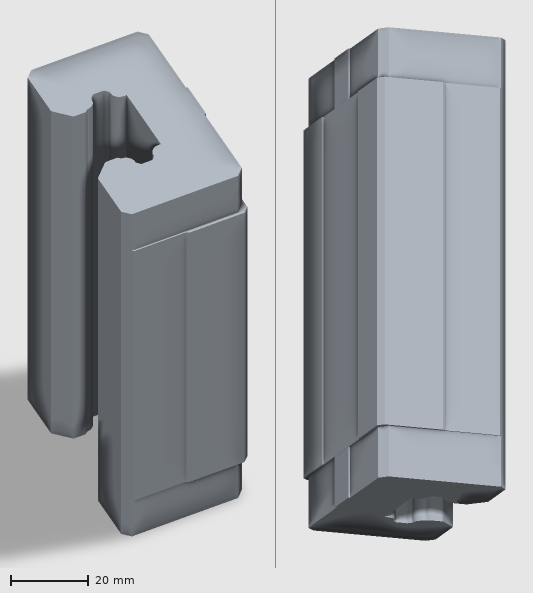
import cadquery as cq
import math


length = 120.7
block_width = 60.0
block_height = 36.0

block_length = 93.4
lower_side_inset = 0.5
side_step_top = 18.3
side_step_bottom = 17.4
block_top_chamfer = 1.6
top_recess_width = 27.5
top_recess_depth = 0.3

cap_half_width = 29.1
cap_height = 35.1
cap_top_chamfer = 2.2
ridge_width = 10.6
ridge_height = 0.5

underside_half_width = 27.0

slot_height = 20.2
lip_half_width = 9.2
lip_chamfer = 4.3
lip_edge_radius = 1.2
lip_top = 7.8
race_axis_height = 14.0
race_radius = 2.7
race_half_width = 9.9
groove_half_width = 14.0
groove_corner = 1.1

half_block = block_width / 2
cap_length = (length - block_length) / 2


def mirrored_bar(half_profile, bar_length):
    """Extrude a half profile centred on Z and join it with its mirror image about X = 0."""
    half = half_profile.close().extrude(bar_length / 2, both=True)
    return half.union(half.mirror("YZ"))


def steel_block():
    lower_half_width = half_block - lower_side_inset
    profile = cq.Workplane("XY").polyline([
        (0, 0),
        (underside_half_width, 0),
        (lower_half_width, lower_half_width - underside_half_width),
        (lower_half_width, side_step_bottom),
        (half_block, side_step_top),
        (half_block, block_height - block_top_chamfer),
        (half_block - block_top_chamfer, block_height),
        (top_recess_width / 2, block_height),
        (top_recess_width / 2, block_height - top_recess_depth),
        (0, block_height - top_recess_depth),
    ])
    return mirrored_bar(profile, block_length)


def end_cap():
    ridge_top = cap_height + ridge_height
    profile = cq.Workplane("XY").polyline([
        (0, 0),
        (underside_half_width, 0),
        (cap_half_width, cap_half_width - underside_half_width),
        (cap_half_width, cap_height - cap_top_chamfer),
        (cap_half_width - cap_top_chamfer, cap_height),
        (ridge_width / 2, cap_height),
        (ridge_width / 2, ridge_top),
        (0, ridge_top),
    ])
    return mirrored_bar(profile, cap_length)


def rail_slot():
    shoulder_x = race_half_width + race_radius
    shoulder_offset = 2 * race_radius
    quarter_mid = race_radius * math.sin(math.radians(45))
    lower_centre = race_axis_height - shoulder_offset
    upper_centre = race_axis_height + shoulder_offset
    groove_half_height = shoulder_offset - race_radius
    groove_wall_half = groove_half_height - groove_corner
    groove_mouth_x = groove_half_width - groove_corner

    entry_angle = math.radians(45)
    edge_run = lip_edge_radius * math.tan(entry_angle / 2)
    edge_slant = edge_run * math.sin(entry_angle)
    edge_centre_x = lip_half_width + lip_edge_radius
    edge_centre_y = lip_chamfer + edge_run
    edge_mid_x = edge_centre_x - lip_edge_radius * math.cos(entry_angle / 2)
    edge_mid_y = edge_centre_y - lip_edge_radius * math.sin(entry_angle / 2)

    profile = (
        cq.Workplane("XY")
        .lineTo(lip_half_width + lip_chamfer, 0)
        .lineTo(lip_half_width + edge_slant, lip_chamfer - edge_slant)
        .threePointArc((edge_mid_x, edge_mid_y), (lip_half_width, edge_centre_y))
        .lineTo(lip_half_width, lip_top)
        .lineTo(race_half_width, lower_centre)
        .threePointArc(
            (shoulder_x - quarter_mid, lower_centre + quarter_mid),
            (shoulder_x, race_axis_height - groove_half_height),
        )
        .lineTo(groove_mouth_x, race_axis_height - groove_half_height)
        .lineTo(groove_half_width, race_axis_height - groove_wall_half)
        .lineTo(groove_half_width, race_axis_height + groove_wall_half)
        .lineTo(groove_mouth_x, race_axis_height + groove_half_height)
        .lineTo(shoulder_x, race_axis_height + groove_half_height)
        .threePointArc(
            (shoulder_x - quarter_mid, upper_centre - quarter_mid),
            (race_half_width, upper_centre),
        )
        .lineTo(race_half_width, slot_height)
        .lineTo(0, slot_height)
    )
    return mirrored_bar(profile, length)


carriage = steel_block()
cap_centre = (block_length + cap_length) / 2
for side in (-1, 1):
    carriage = carriage.union(end_cap().translate((0, 0, side * cap_centre)))

result = carriage.cut(rail_slot())